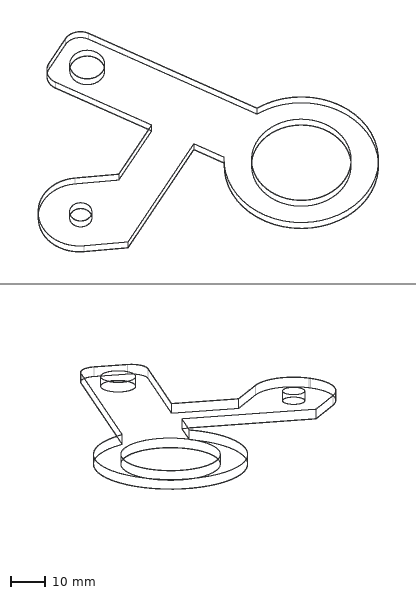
import cadquery as cq
import math

thickness = 3.0

ring_outer_diameter = 45.0
ring_bore_diameter = 29.0
ring_center_x = 81.06

bar_width = 20.0
bar_corner_radius = 5.0
bar_hole_diameter = 10.2
bar_hole_x = 10.0

arm_left_x = 36.85
arm_width = 14.0
arm_left_length = 20.0
arm_right_length = 40.0

foot_slope = math.radians(34.8)
foot_corner_radius = 12.0
foot_reach = 24.9
foot_hole_diameter = 6.5
foot_hole_x = 33.6
foot_hole_y = -47.15

arm_right_x = arm_left_x + arm_width
foot_top = (arm_left_x, -bar_width / 2 - arm_left_length)
foot_bottom = (arm_right_x, -bar_width / 2 - arm_right_length)
foot_mid = ((foot_top[0] + foot_bottom[0]) / 2, (foot_top[1] + foot_bottom[1]) / 2)


def point_on_foot_end(corner):
    """Carry an arm corner along the slope to the foot's square outer end."""
    along = (-math.cos(foot_slope), -math.sin(foot_slope))
    offset = (corner[0] - foot_mid[0]) * along[0] + (corner[1] - foot_mid[1]) * along[1]
    travel = foot_reach - offset
    return (corner[0] + travel * along[0], corner[1] + travel * along[1])


def vertical_edge_at(point):
    """Selector for the vertical edge standing on the given point."""
    return cq.selectors.NearestToPointSelector((point[0], point[1], thickness / 2))


def disc(x, y, diameter):
    """Full-thickness disc, used both as ring body and as hole cutter."""
    return cq.Workplane("XY").center(x, y).circle(diameter / 2).extrude(thickness)


def make_bar():
    """Bar running to the ring centre, rounded at its free end."""
    bar = cq.Workplane("XY").box(ring_center_x, bar_width, thickness, centered=(False, True, False))
    return bar.edges("|Z and <X").fillet(bar_corner_radius)


def make_arm():
    """Arm with a slanted foot whose two outer corners are rounded."""
    end_top = point_on_foot_end(foot_top)
    end_bottom = point_on_foot_end(foot_bottom)
    outline = [(arm_left_x, 0), foot_top, end_top, end_bottom, foot_bottom, (arm_right_x, 0)]
    arm = cq.Workplane("XY").polyline(outline).close().extrude(thickness)
    for corner in (end_top, end_bottom):
        arm = arm.edges("|Z").edges(vertical_edge_at(corner)).fillet(foot_corner_radius)
    return arm


ring_body = disc(ring_center_x, 0, ring_outer_diameter)
plate = make_bar().union(ring_body).union(make_arm())

holes = [
    (ring_center_x, 0, ring_bore_diameter),
    (bar_hole_x, 0, bar_hole_diameter),
    (foot_hole_x, foot_hole_y, foot_hole_diameter),
]
for x, y, diameter in holes:
    plate = plate.cut(disc(x, y, diameter))

result = plate